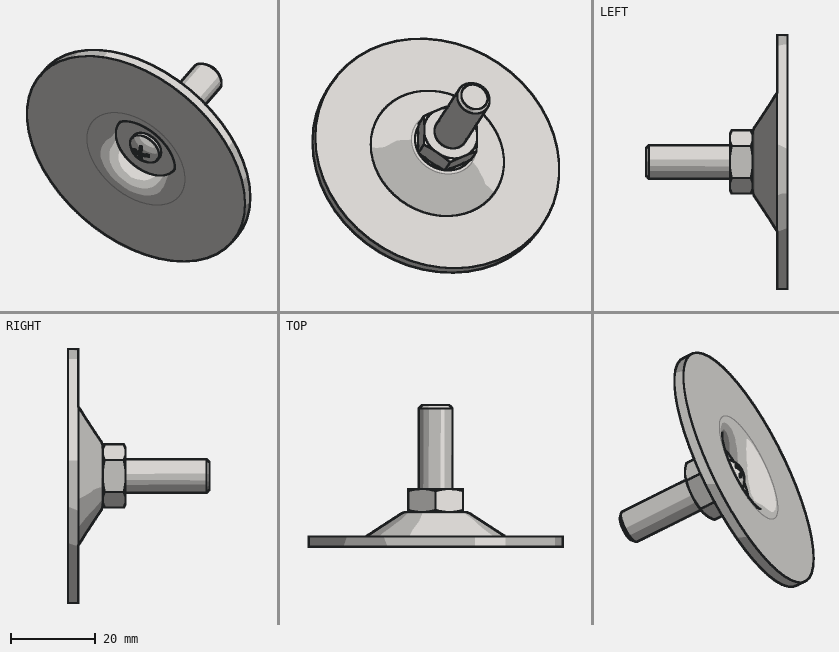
import cadquery as cq
import math


plate_radius = 30.0
plate_thickness = 2.5
hub_base_radius = 16.4
hub_shoulder_radius = 8.0
hub_top_radius = 7.2
hub_shoulder_y = 8.0
hub_top_y = 8.3

recess_floor_radius = 8.5
recess_depth = 5.0
recess_mouth_radius = recess_floor_radius + recess_depth

stud_radius = 8.0 / 2
stud_end_y = 33.5
stud_chamfer = 0.8
nut_across_flats = 12.95
nut_top_y = 13.6
nut_chamfer_height = 0.4
nut_chamfer_angle = 25.0

head_rim_height = 1.0
head_dome_height = 2.05
slot_length = 4.2
slot_width = 0.55
slot_depth = 0.5


def revolve_about_y(sketch):
    return sketch.close().revolve(360, (0, 0, 0), (0, 1, 0))


def make_base():
    arc_offset = recess_depth * math.sqrt(0.5)
    arc_middle = (recess_mouth_radius - arc_offset, recess_depth - arc_offset)
    return revolve_about_y(
        cq.Workplane("XY")
        .moveTo(0, recess_depth)
        .lineTo(recess_floor_radius, recess_depth)
        .threePointArc(arc_middle, (recess_mouth_radius, 0))
        .lineTo(plate_radius, 0)
        .lineTo(plate_radius, plate_thickness)
        .lineTo(hub_base_radius, plate_thickness)
        .lineTo(hub_shoulder_radius, hub_shoulder_y)
        .lineTo(hub_top_radius, hub_top_y)
        .lineTo(0, hub_top_y)
    )


def make_stud():
    return revolve_about_y(
        cq.Workplane("XY")
        .moveTo(0, recess_depth)
        .lineTo(stud_radius, recess_depth)
        .lineTo(stud_radius, stud_end_y - stud_chamfer)
        .lineTo(stud_radius - stud_chamfer, stud_end_y)
        .lineTo(0, stud_end_y)
    )


def make_nut():
    across_corners = nut_across_flats / math.cos(math.radians(30))
    corner_radius = across_corners / 2
    prism = (
        cq.Workplane("XZ", origin=(0, hub_top_y, 0))
        .transformed(rotate=(0, 0, 90))
        .polygon(6, across_corners)
        .extrude(hub_top_y - nut_top_y)
    )
    inset = nut_chamfer_height / math.tan(math.radians(nut_chamfer_angle))
    envelope = revolve_about_y(
        cq.Workplane("XY")
        .moveTo(0, hub_top_y)
        .lineTo(corner_radius - inset, hub_top_y)
        .lineTo(corner_radius, hub_top_y + nut_chamfer_height)
        .lineTo(corner_radius, nut_top_y - nut_chamfer_height)
        .lineTo(corner_radius - inset, nut_top_y)
        .lineTo(0, nut_top_y)
    )
    return prism.intersect(envelope)


def make_head():
    rim_y = recess_depth - head_rim_height
    apex_y = rim_y - head_dome_height
    dome_radius = (stud_radius**2 + head_dome_height**2) / (2 * head_dome_height)
    middle_x = stud_radius / 2
    middle_y = apex_y + dome_radius - math.sqrt(dome_radius**2 - middle_x**2)
    head = revolve_about_y(
        cq.Workplane("XY")
        .moveTo(0, recess_depth)
        .lineTo(stud_radius, recess_depth)
        .lineTo(stud_radius, rim_y)
        .threePointArc((middle_x, middle_y), (0, apex_y))
    )
    slot_floor_y = apex_y + slot_depth
    for size_x, size_z in ((slot_length, slot_width), (slot_width, slot_length)):
        slot = cq.Workplane("XZ").rect(size_x, size_z).extrude(-slot_floor_y)
        head = head.cut(slot)
    return head


result = make_base().union(make_stud()).union(make_nut()).union(make_head())